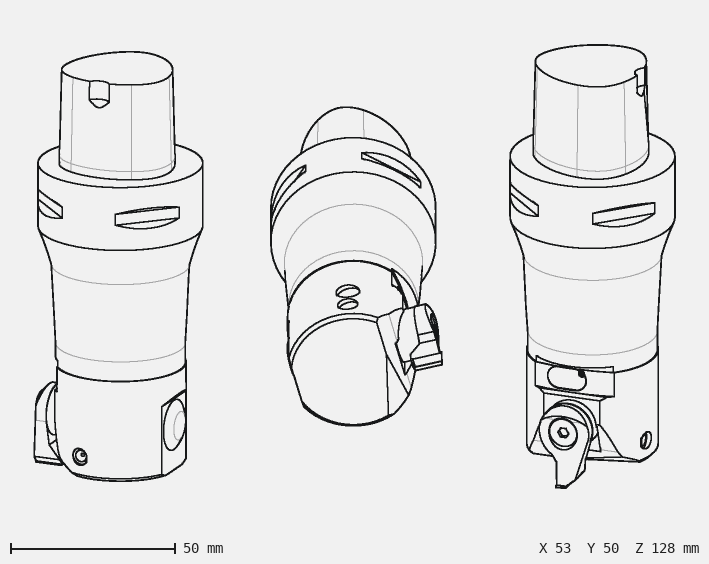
import cadquery as cq
import math

flange_diameter = 50.0
flange_radius = flange_diameter / 2
flange_bottom = -20.0
cone_bottom = -32.0
cone_bottom_radius = 21.0
cone_middle_radius = 22.8
waist_bottom = -57.0
waist_radius = 19.7
waist_middle_radius = 20.5
nose_top = -63.2
nose_radius = 20.0
nose_bottom = -95.2
nose_chamfer = 1.2

shank_top = 30.0
collar_height = 2.7
shank_radius = 17.5
shank_lobe = 1.0
shank_taper = 1 / 40
side_half_angle = 25.0
spline_steps = 8

keyway_radius = 4.0
keyway_y = -17.9
keyway_floor = 24.2

notch_count = 4
notch_z = -10.2
notch_floor_distance = 22.8
notch_floor_height = 3.5
notch_mouth_height = 6.4

flat_x = 17.8
back_flat_top = -72.6
front_flat_top = -72.0
first_slope_top = -80.0
second_slope_x = -14.6
second_slope_top = -89.3
nose_edge_x = -11.3

relief_point = (nose_edge_x, 3.5, nose_bottom)
relief_normal = (-0.52, -0.12, -0.84)

pocket_x = -16.8
pocket_floor_radius = 58.9
pocket_step = 0.1
pocket_top = -61.3
pocket_bottom = -71.0
window_y = 2.2
window_z = -66.8
window_length = 12.5
window_height = 7.0
window_x = -16.1
nozzle_diameter = 2.0
nozzle_bore = 1.0
nozzle_y = -2.5
nozzle_z = -64.8
nozzle_depth = 0.8
nozzle_bore_depth = 3.8

pivot_z = -80.9
pivot_diameter = 15.6
pivot_radius = pivot_diameter / 2
pivot_tip_x = 19.6
pivot_tip_radius = 4.4
pivot_shoulder_radius = 5.9
pivot_shoulder_x = 19.1

clearance_x = -14.1
clearance_side_y = 3.3

screw_z = -88.5
screw_x = -4.9
screw_diameter = 5.2
screw_socket_diameter = 3.6
screw_socket_tip_diameter = 1.0
screw_recess_depth = 1.0
screw_socket_depth = 1.3
rear_recess_x = -3.3
rear_recess_depth = 1.3
rear_recesses = [(pivot_z, 7.0), (screw_z, 6.0)]

head_diameter = 16.0
head_radius = head_diameter / 2
arm_back_x = -21.1
arm_front_radius = 25.9
arm_tip_radius = 27.4
arm_bend_z = -76.8
arm_bottom = -97.7
arm_side_angle = 12.0
arm_heel_z = -90.6
arm_heel_tip_x = -18.3
arm_heel_tip_z = -95.2
arm_tip_y = 1.4
arm_neck_y = 1.8
arm_neck_z = -90.4
arm_web_y = 3.5
arm_bevel_y = -4.4
arm_bevel_z = -95.4
arm_bottom_y = -1.5
head_cone_x = -25.9
head_cone_radius = 8.2
head_cone_z = -83.6
dish_x = -25.3
dish_diameter = 8.8
socket_flats = 3.0
socket_depth = 1.3

edge_front_x = -28.0
edge_back_x = -19.0
edge_bottom = -98.0
edge_top = -97.4

cutter_reach = 38.4


def turned_body():
    profile = (
        cq.Workplane("XZ")
        .moveTo(0, 0)
        .lineTo(flange_radius, 0)
        .lineTo(flange_radius, flange_bottom)
        .threePointArc(
            (cone_middle_radius, (flange_bottom + cone_bottom) / 2),
            (cone_bottom_radius, cone_bottom),
        )
        .threePointArc(
            (waist_middle_radius, (cone_bottom + waist_bottom) / 2),
            (waist_radius, waist_bottom),
        )
        .lineTo(waist_radius, nose_top)
        .lineTo(nose_radius, nose_top)
        .lineTo(nose_radius, nose_bottom + nose_chamfer)
        .lineTo(nose_radius - nose_chamfer, nose_bottom)
        .lineTo(0, nose_bottom)
        .close()
    )
    return profile.revolve(360, (0, 0, 0), (0, 1, 0))


def lobed_wire(radius, z):
    """Closed outline of constant width: one spline for each flat side and each lobe."""
    edges = []
    for i in range(3):
        side = i * 120 + 60
        edges.append(lobed_edge(radius, z, side - side_half_angle, side + side_half_angle))
        edges.append(lobed_edge(radius, z, side + side_half_angle, side + 120 - side_half_angle))
    return cq.Wire.assembleEdges(edges)


def lobed_edge(radius, z, start, end):
    """Stretch of the outline between two angles of its normal, measured from the +Y lobe."""
    points = []
    for i in range(spline_steps + 1):
        t = math.radians(start + (end - start) * i / spline_steps)
        u = radius * math.cos(t) + shank_lobe * (2 * math.cos(2 * t) - math.cos(4 * t))
        v = radius * math.sin(t) - shank_lobe * (2 * math.sin(2 * t) + math.sin(4 * t))
        points.append(cq.Vector(-v, u, z))
    return cq.Edge.makeSpline(points, tangents=[outline_direction(start), outline_direction(end)])


def outline_direction(angle):
    """Direction along the outline where its normal stands at the given angle."""
    t = math.radians(angle)
    return cq.Vector(-math.cos(t), -math.sin(t), 0)


def shank():
    top_radius = shank_radius - (shank_top - collar_height) * shank_taper
    bottom = lobed_wire(shank_radius, 0)
    middle = lobed_wire(shank_radius, collar_height)
    top = lobed_wire(top_radius, shank_top)
    collar = cq.Solid.makeLoft([bottom, middle], True)
    taper = cq.Solid.makeLoft([middle, top], True)
    return cq.Workplane(collar).union(cq.Workplane(taper))


def keyway():
    """Round-bottomed keyway: a drill shape standing parallel to the tool axis."""
    profile = (
        cq.Workplane("XZ", origin=(0, keyway_y, 0))
        .polyline([
            (0, keyway_floor - keyway_radius),
            (keyway_radius, keyway_floor),
            (keyway_radius, shank_top),
            (0, shank_top),
        ])
        .close()
    )
    return profile.revolve(360, (0, 0, 0), (0, 1, 0))


def gripper_notch(angle):
    """V-shaped groove with a flat floor, straight across the flange's rim."""
    slope = (notch_mouth_height - notch_floor_height) / 2 / (flange_radius - notch_floor_distance)
    outside = cutter_reach
    half_floor = notch_floor_height / 2
    half_outside = half_floor + slope * (outside - notch_floor_distance)
    profile = (
        cq.Workplane("XZ")
        .polyline([
            (notch_floor_distance, notch_z - half_floor),
            (outside, notch_z - half_outside),
            (outside, notch_z + half_outside),
            (notch_floor_distance, notch_z + half_floor),
        ])
        .close()
    )
    notch = profile.extrude(flange_radius, both=True)
    return notch.rotate((0, 0, 0), (0, 0, 1), angle)


def along_y(points):
    """Prism along Y from (x, z) points."""
    return cq.Workplane("XZ").polyline(points).close().extrude(cutter_reach, both=True)


def front_cut():
    outside = -flange_radius
    return along_y([
        (-flat_x, front_flat_top),
        (-flat_x, first_slope_top),
        (second_slope_x, second_slope_top),
        (nose_edge_x, nose_bottom),
        (outside, nose_bottom),
        (outside, front_flat_top),
    ])


def back_cut():
    rise = flange_radius - flat_x
    return along_y([
        (flat_x, nose_bottom),
        (flat_x, back_flat_top),
        (flange_radius, back_flat_top + rise),
        (flange_radius, nose_bottom),
    ])


def corner_relief():
    """Block beyond a sloping plane, which bevels one lower corner of the nose."""
    plane = cq.Plane(origin=relief_point, xDir=(0, 1, 0), normal=relief_normal)
    return cq.Workplane(plane).rect(2 * cutter_reach, 2 * cutter_reach).extrude(cutter_reach)


def label_pocket():
    """Pocket with a bulged floor, stepped where the nose begins, and a sloping lower wall."""
    run = flange_radius + pocket_x
    block = along_y([
        (0, pocket_top),
        (-flange_radius, pocket_top),
        (-flange_radius, pocket_bottom - run),
        (pocket_x, pocket_bottom),
        (0, pocket_bottom),
    ])
    core = (
        cq.Workplane("XY", origin=(pocket_x + pocket_floor_radius, 0, nose_bottom))
        .circle(pocket_floor_radius)
        .extrude(nose_top - nose_bottom)
        .faces(">Z")
        .workplane()
        .circle(pocket_floor_radius - pocket_step)
        .extrude(-nose_top)
    )
    return block.cut(core)


def label_window():
    window = (
        cq.Workplane("YZ", origin=(window_x, window_y, window_z))
        .slot2D(window_length, window_height)
        .extrude(-cutter_reach)
    )
    for diameter, depth in ((nozzle_diameter, nozzle_depth), (nozzle_bore, nozzle_bore_depth)):
        nozzle = (
            cq.Workplane("YZ", origin=(window_x + depth, nozzle_y, nozzle_z))
            .circle(diameter / 2)
            .extrude(-cutter_reach)
        )
        window = window.union(nozzle)
    return window


def arm_clearance():
    height = pivot_z - nose_bottom
    return (
        cq.Workplane("YZ", origin=(clearance_x, 0, nose_bottom))
        .moveTo(-head_radius, 0)
        .lineTo(clearance_side_y, 0)
        .lineTo(clearance_side_y, height)
        .lineTo(-head_radius, height)
        .close()
        .extrude(-cutter_reach)
    )


def side_recess(x, z, diameter, depth):
    """Flat-bottomed recess in the -Y side of the nose."""
    floor_y = math.sqrt(nose_radius**2 - x**2) - depth
    return (
        cq.Workplane("XZ", origin=(x, -floor_y, z))
        .circle(diameter / 2)
        .extrude(cutter_reach)
    )


def screw_socket():
    """Conical socket in the floor of the screw recess."""
    recess_floor_y = math.sqrt(nose_radius**2 - screw_x**2) - screw_recess_depth
    return (
        cq.Workplane("XZ", origin=(screw_x, -recess_floor_y, screw_z))
        .circle(screw_socket_diameter / 2)
        .workplane(offset=-screw_socket_depth)
        .circle(screw_socket_tip_diameter / 2)
        .loft()
    )


def make_holder():
    holder = turned_body().union(shank()).cut(keyway())
    for i in range(notch_count):
        holder = holder.cut(gripper_notch((i + 0.5) * 360 / notch_count))
    holder = holder.cut(label_pocket()).cut(label_window())
    holder = holder.cut(front_cut()).cut(back_cut()).cut(corner_relief())
    holder = holder.cut(arm_clearance())
    holder = holder.cut(side_recess(screw_x, screw_z, screw_diameter, screw_recess_depth))
    holder = holder.cut(screw_socket())
    for z, diameter in rear_recesses:
        recess = side_recess(rear_recess_x, z, diameter, rear_recess_depth)
        holder = holder.cut(recess.mirror("XZ"))
    return holder.cut(pivot_pin())


def pivot_pin():
    """Arm's pivot, running through the nose to a domed end."""
    profile = (
        cq.Workplane("XY", origin=(0, 0, pivot_z))
        .moveTo(arm_back_x, 0)
        .lineTo(arm_back_x, pivot_radius)
        .lineTo(flat_x, pivot_radius)
        .threePointArc((pivot_shoulder_x, pivot_shoulder_radius), (pivot_tip_x, pivot_tip_radius))
        .lineTo(pivot_tip_x, 0)
        .close()
    )
    return profile.revolve(360, (0, 0, 0), (1, 0, 0))


def arm_outline():
    """Arm seen along X: a round head, a tapering shank and a bevelled lower end."""
    angle = math.radians(arm_side_angle)
    tangent = (-head_radius * math.cos(angle), pivot_z - head_radius * math.sin(angle))
    web_z = pivot_z - math.sqrt(head_radius**2 - arm_web_y**2)
    return (
        cq.Workplane("YZ", origin=(arm_heel_tip_x, 0, 0))
        .moveTo(*tangent)
        .threePointArc((0, pivot_z + head_radius), (arm_web_y, web_z))
        .lineTo(arm_neck_y, arm_neck_z)
        .lineTo(arm_tip_y, arm_bottom)
        .lineTo(arm_bottom_y, arm_bottom)
        .lineTo(arm_bevel_y, arm_bevel_z)
        .close()
        .extrude(-cutter_reach)
    )


def arm_envelope():
    """Front face turned about the tool axis, back face stepped out towards the tip."""
    top = pivot_z + head_radius
    turned = (
        cq.Workplane("XZ")
        .moveTo(0, top)
        .lineTo(arm_front_radius, top)
        .lineTo(arm_front_radius, arm_bend_z)
        .tangentArcPoint((arm_tip_radius, arm_bottom), relative=False)
        .lineTo(0, arm_bottom)
        .close()
        .revolve(360, (0, 0, 0), (0, 1, 0))
    )
    side = along_y([
        (arm_back_x, top),
        (arm_back_x, arm_heel_z),
        (arm_heel_tip_x, arm_heel_tip_z),
        (arm_heel_tip_x, arm_bottom),
        (-cutter_reach, arm_bottom),
        (-cutter_reach, top),
    ])
    return turned.intersect(side)


def head_chamfer():
    """Material outside a 45 degree cone, above the cone's axis, at the top of the arm's head."""
    outer_radius = head_cone_radius + head_radius
    half = (
        cq.Workplane("XY", origin=(0, 0, head_cone_z))
        .polyline([
            (head_cone_x + head_radius, outer_radius),
            (head_cone_x - head_cone_radius, 0),
            (head_cone_x - head_cone_radius, outer_radius),
        ])
        .close()
    )
    return half.revolve(180, (0, 0, 0), (1, 0, 0))


def head_dish():
    """Flat-bottomed conical dish in the head, with a hexagon socket in its floor."""
    radius = dish_diameter / 2
    depth = arm_tip_radius + dish_x
    dish = (
        cq.Workplane("XY", origin=(0, 0, pivot_z))
        .polyline([
            (dish_x, 0),
            (dish_x, radius),
            (dish_x - depth, radius + depth),
            (dish_x - depth, 0),
        ])
        .close()
        .revolve(360, (0, 0, 0), (1, 0, 0))
    )
    socket = (
        cq.Workplane("YZ", origin=(dish_x, 0, pivot_z))
        .polygon(6, socket_flats, circumscribed=True)
        .extrude(socket_depth)
        .rotate((0, 0, pivot_z), (1, 0, pivot_z), 30)
    )
    return dish.union(socket)


def cutting_edge():
    return (
        cq.Workplane("XY", origin=(0, 0, edge_bottom))
        .moveTo(edge_front_x, arm_tip_y)
        .lineTo(edge_back_x, arm_tip_y)
        .lineTo(edge_back_x, arm_bottom_y)
        .lineTo(-arm_tip_radius, arm_bottom_y)
        .close()
        .extrude(edge_top - edge_bottom)
    )


def make_arm():
    arm = arm_outline().intersect(arm_envelope()).cut(head_chamfer()).cut(head_dish())
    return arm.union(cutting_edge()).union(pivot_pin())


holder = make_holder()
arm = make_arm()
result = cq.Compound.makeCompound([holder.solids().val(), arm.solids().val()])